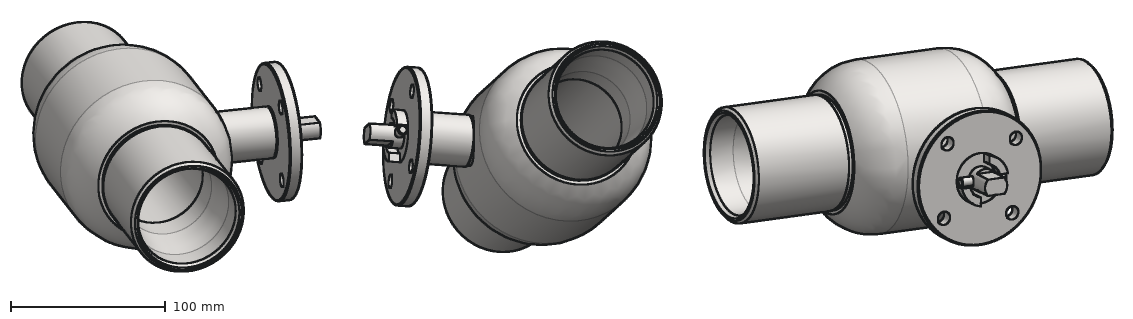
import cadquery as cq
import math


shell_radius = 57.0
shell_straight_half = 29.5
shell_half_length = 59.8
shell_end_radius = 40.3
bore_radius = 30.0

valve_length = 260
pipe_radius = 38.0
pipe_chamfer = 2.0
spigot_length = 2.5
spigot_relief = 0.3
pipe_mouth_radius = 34.3
pipe_inner_radius = 32.8
mouth_depth = 3.0
straight_depth = 19.8
reducer_length = 30.0

neck_radius = 17.0
collar_inner_radius = 11.2
neck_floor = 52
relief_depth = 0.8
neck_barrel_start = 57.2
neck_barrel_end = 91.8
collar_top = 108.5

flange_radius = 45.0
flange_bottom = 92.5
flange_thickness = 8.5
flange_chamfer = 0.8
flange_turn = 3
bolt_circle_radius = 35.0
bolt_hole_radius = 4.5
bolt_count = 4
flange_top = flange_bottom + flange_thickness

stem_radius = 8.0
stem_flat_half = 5.5
stem_top = 124.0
pin_radius = 3.0
pin_half_length = 16.0
pin_chamfer = 0.5
pin_height = 104.5


def disc(radius, start, end):
    """Cylinder on the stem axis between two Y positions."""
    return cq.Workplane("XZ", origin=(0, start, 0)).circle(radius).extrude(start - end)


def make_shell():
    run = shell_half_length - shell_straight_half
    drop = shell_radius - shell_end_radius
    shoulder_radius = (run**2 + drop**2) / (2 * drop)
    half_angle = math.asin(run / shoulder_radius) / 2
    mid_x = shell_straight_half + shoulder_radius * math.sin(half_angle)
    mid_r = shell_radius - shoulder_radius * (1 - math.cos(half_angle))
    body = (
        cq.Workplane("XY")
        .moveTo(-shell_half_length, bore_radius)
        .lineTo(-shell_half_length, shell_end_radius)
        .threePointArc((-mid_x, mid_r), (-shell_straight_half, shell_radius))
        .lineTo(shell_straight_half, shell_radius)
        .threePointArc((mid_x, mid_r), (shell_half_length, shell_end_radius))
        .lineTo(shell_half_length, bore_radius)
        .close()
        .revolve(360, (0, 0), (1, 0))
    )
    return body.cut(disc(neck_radius - relief_depth, neck_floor, shell_radius))


def make_pipe(side):
    """Pipe on the +X (side = 1) or -X (side = -1) end of the shell."""
    end = valve_length / 2
    spigot_end = shell_half_length + spigot_length
    cone_start = end - straight_depth
    profile = [
        (shell_half_length, bore_radius),
        (shell_half_length, pipe_radius - spigot_relief),
        (spigot_end, pipe_radius - spigot_relief),
        (spigot_end, pipe_radius),
        (end - pipe_chamfer, pipe_radius),
        (end, pipe_radius - pipe_chamfer),
        (end, pipe_mouth_radius),
        (end - mouth_depth, pipe_inner_radius),
        (cone_start, pipe_inner_radius),
        (cone_start - reducer_length, bore_radius),
    ]
    points = [(side * x, r) for x, r in profile]
    return cq.Workplane("XY").polyline(points).close().revolve(360, (0, 0), (1, 0))


def stop_window(side):
    """Quarter opening that lets one end of the stop pin swing 90 degrees."""
    size = 2 * neck_radius
    centre = side * (size / 2 - pin_radius)
    height = collar_top - flange_top
    return cq.Workplane("XY").box(size, height, size).translate((centre, flange_top + height / 2, centre))


def make_neck():
    neck = disc(neck_radius - relief_depth, neck_floor, collar_top)
    neck = neck.union(disc(neck_radius, neck_barrel_start, neck_barrel_end))
    neck = neck.union(disc(neck_radius, flange_bottom, collar_top))
    neck = neck.cut(disc(stem_radius, neck_floor, collar_top))
    neck = neck.cut(disc(collar_inner_radius, flange_top, collar_top))
    for side in (1, -1):
        neck = neck.cut(stop_window(side))
    return neck


def make_flange():
    flange = disc(flange_radius, flange_bottom, flange_top).edges().chamfer(flange_chamfer)
    flange = flange.cut(disc(neck_radius, flange_bottom, flange_top))
    holes = (
        cq.Workplane("XZ", origin=(0, flange_bottom, 0))
        .polarArray(bolt_circle_radius, 45 + flange_turn, 360, bolt_count)
        .circle(bolt_hole_radius)
        .extrude(-flange_thickness)
    )
    return flange.cut(holes)


def make_pin():
    return (
        cq.Workplane("YZ", origin=(-pin_half_length, pin_height, 0))
        .circle(pin_radius)
        .extrude(2 * pin_half_length)
        .edges("%CIRCLE")
        .chamfer(pin_chamfer)
    )


def make_stem(pin):
    stem = disc(stem_radius, neck_floor, collar_top)
    drive_length = stem_top - collar_top
    flats = cq.Workplane("XY").box(2 * stem_radius, drive_length, 2 * stem_flat_half)
    flats = flats.translate((0, collar_top + drive_length / 2, 0))
    stem = stem.union(disc(stem_radius, collar_top, stem_top).intersect(flats))
    return stem.cut(pin)


shell = make_shell()
pipes = [make_pipe(side) for side in (-1, 1)]
neck = make_neck()
flange = make_flange()
pin = make_pin()
stem = make_stem(pin)

result = cq.Compound.makeCompound(
    [shell.val(), *[pipe.val() for pipe in pipes], neck.val(), flange.val(), stem.val(), pin.val()]
)